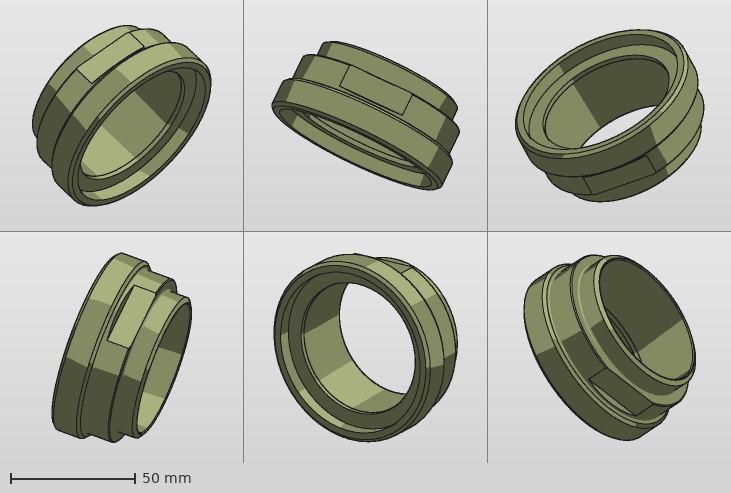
import cadquery as cq
import math

length = 33.5
spigot_radius = 60.3 / 2
collar_radius = 70.0 / 2
flange_radius = 75.85 / 2
bore_radius = 55.1 / 2
relief_radius = 55.3 / 2
socket_radius = 33.8

collar_start = 9.2
flange_start = 21.0

spigot_chamfer_length = 1.2
spigot_chamfer_depth = 1.9
collar_chamfer = 0.45
flange_chamfer = 1.3
spigot_fillet = 0.9
collar_fillet = 0.7

mouth_chamfer = 0.45
relief_start = 25.95
socket_start = 27.9

flat_height = 32.1
flat_end = 19.05
flat_wall_angle = 15


def fillet_arc(profile, corner_x, corner_radius, size):
    """Draw a concave quarter arc from a cylinder up to its shoulder."""
    inset = size * (1 - math.sqrt(0.5))
    return profile.lineTo(corner_x - size, corner_radius).threePointArc(
        (corner_x - inset, corner_radius + inset),
        (corner_x, corner_radius + size),
    )


def make_ring():
    profile = (
        cq.Workplane("XY")
        .moveTo(mouth_chamfer, bore_radius)
        .lineTo(0, bore_radius + mouth_chamfer)
        .lineTo(0, spigot_radius - spigot_chamfer_depth)
        .lineTo(spigot_chamfer_length, spigot_radius)
    )
    profile = fillet_arc(profile, collar_start, spigot_radius, spigot_fillet)
    profile = (
        profile
        .lineTo(collar_start, collar_radius - collar_chamfer)
        .lineTo(collar_start + collar_chamfer, collar_radius)
    )
    profile = fillet_arc(profile, flange_start, collar_radius, collar_fillet)
    profile = (
        profile
        .lineTo(flange_start, flange_radius - flange_chamfer)
        .lineTo(flange_start + flange_chamfer, flange_radius)
        .lineTo(length - flange_chamfer, flange_radius)
        .lineTo(length, flange_radius - flange_chamfer)
        .lineTo(length, socket_radius)
        .lineTo(socket_start, socket_radius)
        .lineTo(socket_start, relief_radius)
        .lineTo(relief_start, relief_radius)
        .lineTo(relief_start, bore_radius)
        .close()
    )
    return profile.revolve(360, (0, 0, 0), (1, 0, 0))


def make_flat_cutter():
    """Prism above the upper flat, with its end wall leaning toward the flange."""
    cutter_top = collar_radius + collar_fillet
    wall_run = (cutter_top - flat_height) * math.tan(math.radians(flat_wall_angle))
    return (
        cq.Workplane("XZ")
        .moveTo(collar_start, flat_height)
        .lineTo(flat_end, flat_height)
        .lineTo(flat_end + wall_run, cutter_top)
        .lineTo(collar_start, cutter_top)
        .close()
        .extrude(collar_radius, both=True)
    )


flat_cutter = make_flat_cutter()
result = make_ring()
for turn in (0, 180):
    result = result.cut(flat_cutter.rotate((0, 0, 0), (1, 0, 0), turn))